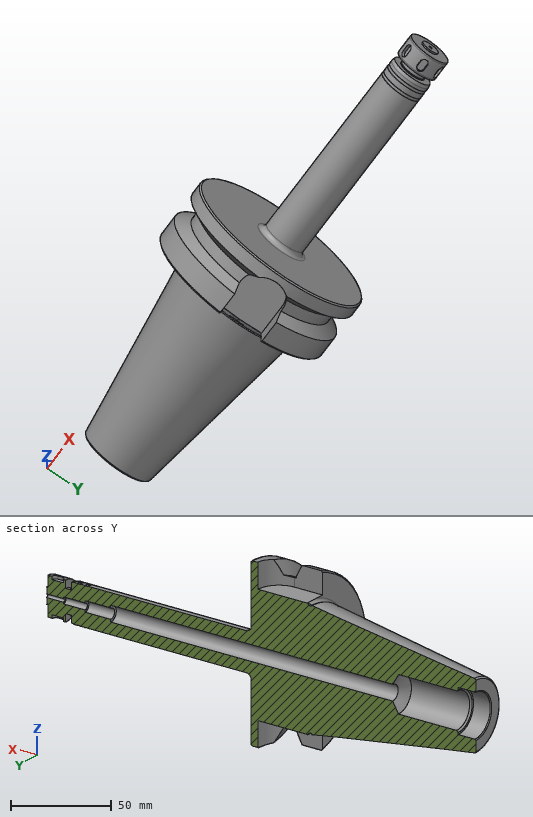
import cadquery as cq
import math

total_length = 266.8
cut_clearance = 2.7

gauge_x = 102.0
gauge_diameter = 70.0
taper_rate = 7 / 24
taper_edge_chamfer = 0.8
relief_depth = 0.5
relief_fillet = 2.0

flange_back_x = 104.9
flange_front_x = 139.8
flange_diameter = 100.0
flange_chamfer = 0.8
groove_x = 124.9
groove_floor_width = 6.5
groove_floor_diameter = 85.0
groove_mouth_width = 14.5

slot_width = 25.5
slot_floor_z = 35.5
slot_end_x = 135.3

shank_diameter = 23.0
shank_end_x = 251.3
shank_fillet = 3.0
shank_end_taper_length = 2.0
shank_end_taper_depth = 0.5
ring_depth = 0.13
ring_edges = [(241.2, 242.8), (246.0, 247.5)]

neck_diameter = 14.0
neck_collar_length = 0.5
neck_collar_diameter = 14.5
nut_back_x = 254.8
nut_front_x = 266.0
nut_chamfer_length = 0.8
nut_chamfer_depth = 0.13
collet_diameter = 9.5
pocket_count = 6
pocket_x = 259.9
pocket_length = 7.0
pocket_width = 4.0
pocket_depth = 2.0

counterbore_diameter = 25.0
counterbore_depth = 11.0
counterbore_chamfer = 0.5
thread_diameter = 21.0
thread_mouth_diameter = 23.0
thread_end_x = 48.0
drill_tip_angle = 118.0
through_hole_steps = [(226.8, 8.8), (242.8, 6.0), (256.0, 3.5), (total_length, 1.7)]


def revolve_about_x(points):
    """Solid of revolution about X from (x, radius) points."""
    return cq.Workplane("XY").polyline(points).close().revolve(360, (0, 0, 0), (1, 0, 0))


def cylinder(start_x, end_x, diameter):
    """Cylinder on the tool axis."""
    return cq.Workplane("YZ", origin=(start_x, 0, 0)).circle(diameter / 2).extrude(end_x - start_x)


def taper():
    """Steep taper with a relief neck filleted into the flange."""
    gauge_radius = gauge_diameter / 2
    small_radius = gauge_radius - gauge_x * taper_rate / 2
    relief_radius = gauge_radius - relief_depth
    return (
        cq.Workplane("XY")
        .lineTo(0, small_radius - taper_edge_chamfer)
        .lineTo(taper_edge_chamfer, small_radius + taper_edge_chamfer * taper_rate / 2)
        .lineTo(gauge_x, gauge_radius)
        .lineTo(gauge_x + relief_depth, relief_radius)
        .lineTo(flange_back_x - relief_fillet, relief_radius)
        .radiusArc((flange_back_x, relief_radius + relief_fillet), -relief_fillet)
        .lineTo(flange_back_x, 0)
        .close()
        .revolve(360, (0, 0, 0), (1, 0, 0))
    )


def flange():
    """Flange disc with a trapezoidal gripper groove."""
    radius = flange_diameter / 2
    floor_radius = groove_floor_diameter / 2
    return revolve_about_x([
        (flange_back_x, 0),
        (flange_back_x, radius - flange_chamfer),
        (flange_back_x + flange_chamfer, radius),
        (groove_x - groove_mouth_width / 2, radius),
        (groove_x - groove_floor_width / 2, floor_radius),
        (groove_x + groove_floor_width / 2, floor_radius),
        (groove_x + groove_mouth_width / 2, radius),
        (flange_front_x - flange_chamfer, radius),
        (flange_front_x, radius - flange_chamfer),
        (flange_front_x, 0),
    ])


def drive_slot():
    """Cutting body of the +Z drive slot, round at its +X end."""
    arc_x = slot_end_x - slot_width / 2
    return (
        cq.Workplane("XY", origin=(0, 0, slot_floor_z))
        .moveTo(gauge_x, -slot_width / 2)
        .lineTo(arc_x, -slot_width / 2)
        .threePointArc((slot_end_x, 0), (arc_x, slot_width / 2))
        .lineTo(gauge_x, slot_width / 2)
        .close()
        .extrude(flange_diameter / 2 - slot_floor_z + cut_clearance)
    )


def shank():
    """Straight shank with a root fillet and shallow rings near its end."""
    radius = shank_diameter / 2
    body = (
        cq.Workplane("XY")
        .moveTo(flange_front_x, 0)
        .lineTo(flange_front_x, radius + shank_fillet)
        .radiusArc((flange_front_x + shank_fillet, radius), -shank_fillet)
        .lineTo(shank_end_x - shank_end_taper_length, radius)
        .lineTo(shank_end_x, radius - shank_end_taper_depth)
        .lineTo(shank_end_x, 0)
        .close()
        .revolve(360, (0, 0, 0), (1, 0, 0))
    )
    for start_x, end_x in ring_edges:
        ring = cylinder(start_x, end_x, shank_diameter + cut_clearance).cut(
            cylinder(start_x, end_x, shank_diameter - 2 * ring_depth)
        )
        body = body.cut(ring)
    return body


def nut_pocket():
    """Cutting body of the +Z wrench pocket."""
    return (
        cq.Workplane("XY", origin=(pocket_x, 0, shank_diameter / 2 - pocket_depth))
        .slot2D(pocket_length, pocket_width)
        .extrude(pocket_depth + cut_clearance)
    )


def nut():
    """Collet nut with its neck and the protruding collet."""
    radius = shank_diameter / 2
    body = revolve_about_x([
        (nut_back_x, 0),
        (nut_back_x, radius - nut_chamfer_depth),
        (nut_back_x + nut_chamfer_length, radius),
        (nut_front_x - nut_chamfer_length, radius),
        (nut_front_x, radius - nut_chamfer_depth),
        (nut_front_x, 0),
    ])
    for index in range(pocket_count):
        angle = index * 360 / pocket_count
        body = body.cut(nut_pocket().rotate((0, 0, 0), (1, 0, 0), angle))
    neck = cylinder(shank_end_x, nut_back_x, neck_diameter)
    collar = cylinder(shank_end_x, shank_end_x + neck_collar_length, neck_collar_diameter)
    collet = cylinder(nut_back_x, total_length, collet_diameter)
    return body.union(neck).union(collar).union(collet)


def bore():
    """Drawbar bore with a drill-point end, and the stepped through hole."""
    counterbore_radius = counterbore_diameter / 2
    thread_radius = thread_diameter / 2
    mouth_radius = thread_mouth_diameter / 2
    half_tip_angle = math.radians(drill_tip_angle / 2)
    body = revolve_about_x([
        (0, 0),
        (0, counterbore_radius + counterbore_chamfer),
        (counterbore_chamfer, counterbore_radius),
        (counterbore_depth, counterbore_radius),
        (counterbore_depth, mouth_radius),
        (counterbore_depth + mouth_radius - thread_radius, thread_radius),
        (thread_end_x, thread_radius),
        (thread_end_x + thread_radius / math.tan(half_tip_angle), 0),
    ])
    start_x = thread_end_x
    for end_x, diameter in through_hole_steps:
        body = body.union(cylinder(start_x, end_x, diameter))
        start_x = end_x
    return body


body = taper().union(flange()).union(shank()).union(nut())
for angle in (0, 180):
    body = body.cut(drive_slot().rotate((0, 0, 0), (1, 0, 0), angle))
result = body.cut(bore())